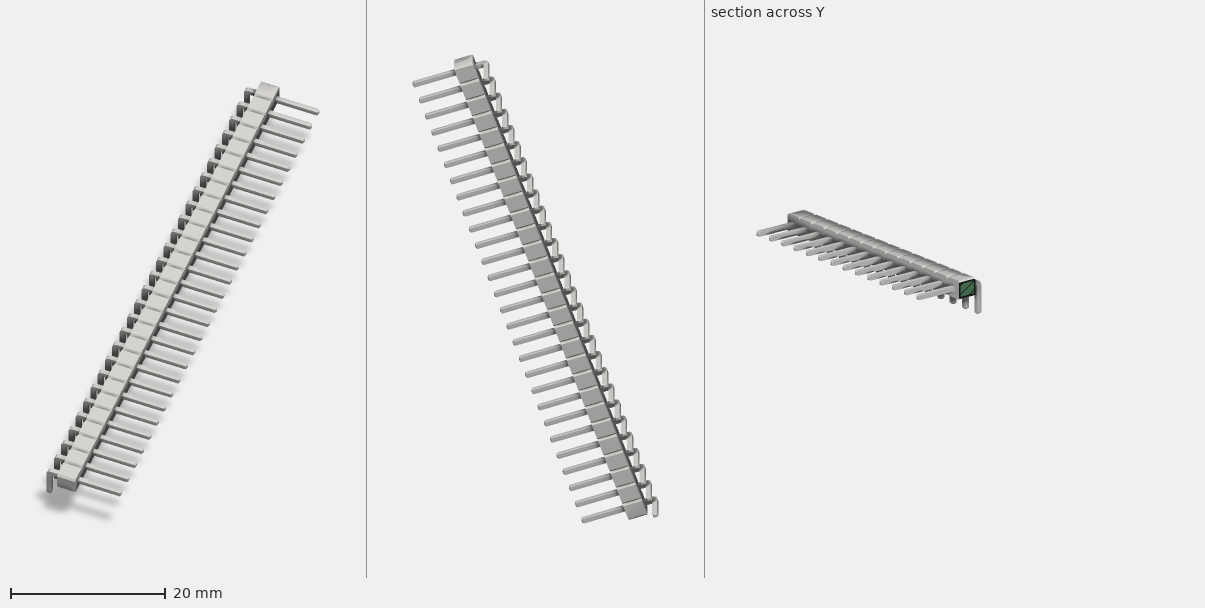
import cadquery as cq


pin_count = 28
pitch = 2.54

housing_depth = pitch
housing_height = pitch
housing_start_x = 1.5
housing_chamfer = housing_height / 10

pin_width = 0.64
half_pin = pin_width / 2
pin_axis_z = housing_height / 2
overall_depth = 10.36
pin_tip_x = overall_depth - half_pin
tail_drop = 3.0
bend_outer_radius = pin_width
tip_chamfer = pin_width / 4


def make_housing_segment(center_y):
    """One pitch of the housing, with its four long X edges chamfered."""
    segment = cq.Workplane("XY").box(housing_depth, pitch, housing_height, centered=(False, True, False))
    segment = segment.edges("|X").chamfer(housing_chamfer)
    return segment.translate((housing_start_x, center_y, 0))


def make_pin(center_y):
    """Square pin bent down into a tail, with both ends chamfered."""
    top_z = pin_axis_z + half_pin
    bottom_z = pin_axis_z - half_pin
    pin = (
        cq.Workplane("XZ")
        .moveTo(-half_pin, -tail_drop)
        .lineTo(-half_pin, top_z)
        .lineTo(pin_tip_x, top_z)
        .lineTo(pin_tip_x, bottom_z)
        .lineTo(half_pin, bottom_z)
        .lineTo(half_pin, -tail_drop)
        .close()
        .extrude(half_pin, both=True)
    )
    pin = pin.edges("|Y").edges("<X and >Z").fillet(bend_outer_radius)
    pin = pin.faces(">X").chamfer(tip_chamfer)
    pin = pin.faces("<Z").chamfer(tip_chamfer)
    return pin.translate((0, center_y, 0))


positions = [(index - (pin_count - 1) / 2) * pitch for index in range(pin_count)]
segments = [make_housing_segment(y).val() for y in positions]
pins = [make_pin(y).val() for y in positions]
result = cq.Workplane(segments[0].fuse(*segments[1:], *pins).clean())